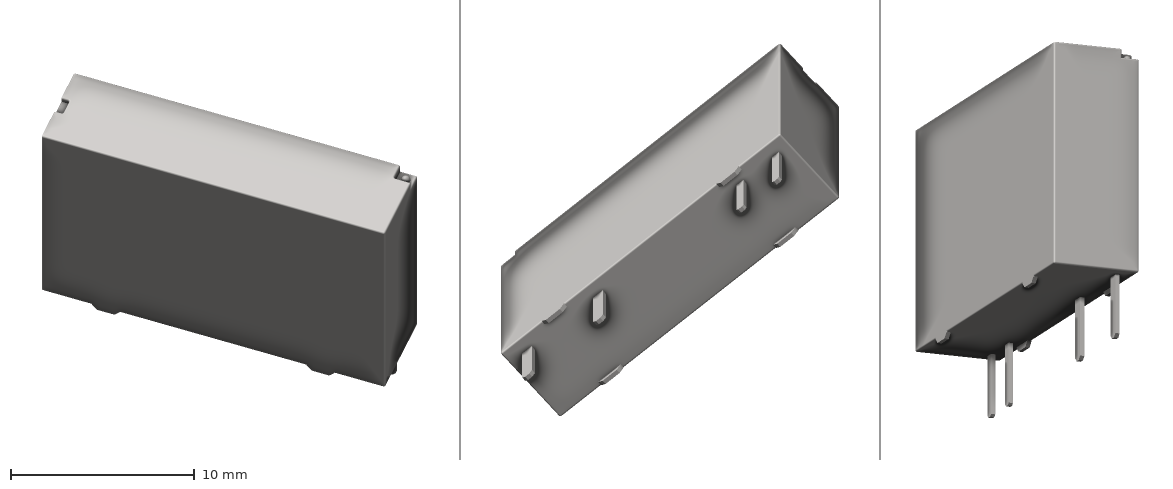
import cadquery as cq

length = 20.0
width = 5.0
case_height = 12.5
edge_radius = 0.1

foot_height = 0.3
foot_thickness = 0.25
foot_tip_width = 1.0
foot_root_width = 1.6
foot_offset = 6.25

pitch = 2.54
pin_length = 3.5
pin_thickness = 0.25
pin_y = 1.6
pin_embed = 0.5
first_pin_x = -9.03
coil_pin_width = 0.5
coil_pin_chamfer = 0.12
contact_pin_width = 0.7
contact_pin_chamfer = 0.2
coil_pin_steps = (0, 1)
contact_pin_steps = (5, 7)

notch_width = 1.0
notch_reach = 0.5
notch_depth = 0.3
notch_corner_radius = 0.1

vent_size = 1.0
vent_depth = 0.5
vent_corner_radius = 0.1
nib_radius = 0.25
nib_inset = 0.5

half_length = length / 2
half_width = width / 2


def make_recess(x, y, size_x, size_y, depth, corner_radius):
    """Round-cornered cutter standing up through the top face, centred on (x, y)."""
    recess = cq.Workplane("XY", origin=(x, y, case_height - depth)).rect(size_x, size_y).extrude(2 * depth)
    return recess.edges("|Z").fillet(corner_radius)


def make_case():
    """Box with both top recesses; all edges of its outer faces, mouths included, are rounded."""
    case = cq.Workplane("XY").box(length, width, case_height, centered=(True, True, False))
    notch = make_recess(-half_length, 0, 2 * notch_reach, notch_width, notch_depth, notch_corner_radius)
    vent = make_recess(half_length, half_width, 2 * vent_size, 2 * vent_size, vent_depth, vent_corner_radius)
    case = case.cut(notch).cut(vent)
    outer_faces = case.faces("<X or >X or <Y or >Y or <Z or >Z")
    return outer_faces.edges().fillet(edge_radius)


def make_nib():
    """Ball whose upper half stands on the floor of the vent recess."""
    center = (half_length - nib_inset, half_width - nib_inset, case_height - vent_depth)
    return cq.Workplane("XY").sphere(nib_radius).translate(center)


def make_foot(x, side):
    """Trapezoidal foot flush with the long face on the given side (+1 or -1)."""
    half_root = foot_root_width / 2
    half_tip = foot_tip_width / 2
    outline = [
        (x - half_root, edge_radius),
        (x - half_root, 0),
        (x - half_tip, -foot_height),
        (x + half_tip, -foot_height),
        (x + half_root, 0),
        (x + half_root, edge_radius),
    ]
    outer_face = cq.Workplane("XZ", origin=(0, side * half_width, 0))
    return outer_face.polyline(outline).close().extrude(side * foot_thickness)


def make_pin(step, pin_width, chamfer):
    """Flat pin with chamfered tip corners, rooted inside the case."""
    x = first_pin_x + step * pitch
    full_length = pin_length + pin_embed
    pin = cq.Workplane("XY").box(pin_width, pin_thickness, full_length, centered=(True, True, False))
    pin = pin.faces("<Z").edges("|Y").chamfer(chamfer)
    return pin.translate((x, pin_y, -pin_length))


result = make_case().union(make_nib())
for foot_x in (-foot_offset, foot_offset):
    for side in (-1, 1):
        result = result.union(make_foot(foot_x, side))
for step in coil_pin_steps:
    result = result.union(make_pin(step, coil_pin_width, coil_pin_chamfer))
for step in contact_pin_steps:
    result = result.union(make_pin(step, contact_pin_width, contact_pin_chamfer))